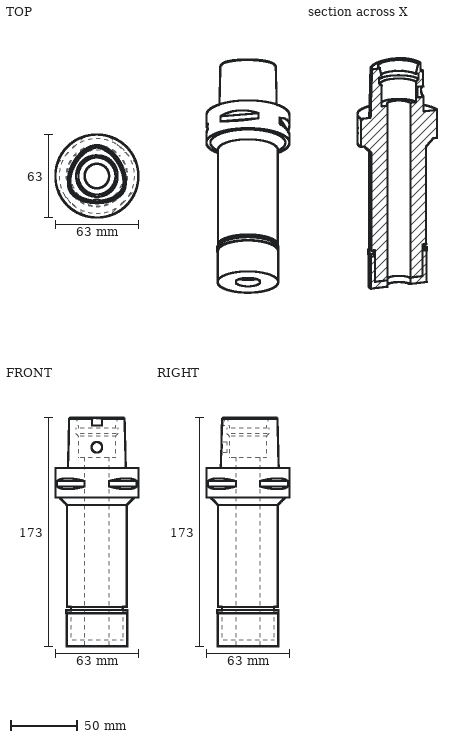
import cadquery as cq
import math


shank_height = 38.0
shank_mean_radius = 22.0
lobe_offset = 1.4
shank_taper = 1 / 40
shank_edge_chamfer = 1.0
outline_points = 36

flange_radius = 31.5
flange_height = 22.4
slot_count = 4
slot_first_angle = 45.0
slot_mid_z = -12.0
slot_floor_distance = 27.8
slot_floor_width = 4.0
slot_side_angle = 30.0
cone_height = 5.75

barrel_radius = 22.65
cone_top_radius = barrel_radius + cone_height
projection = 135.0
neck_top_z = -105.0
neck_radius = 19.75

collar_top_z = -107.5
collar_radius = 23.3
collar_bottom_z = -109.8
nut_radius = 23.0
nut_bevel = 0.3
nut_floor_thickness = 5.0
nut_floor_z = nut_floor_thickness - projection

mouth_radius = 15.75
bore_radius = 14.0
mouth_depth = 6.7
lip_depth = 8.0
groove_radius = 16.0
groove_depth = 12.0
bore_depth = 30.0
through_radius = 9.2

notch_radius = 5.0
notch_back_y = -17.8
notch_depth = 6.0
side_hole_radius = 4.0
side_hole_z = 15.6
side_hole_floor_y = -15.7


def tube(outer_radius, inner_radius, bottom_z, top_z):
    ring = cq.Workplane("XY", origin=(0, 0, bottom_z)).circle(outer_radius).circle(inner_radius)
    return ring.extrude(top_z - bottom_z)


def lobed_outline(mean_radius, z):
    """Closed three-lobed wire whose width is the same in every direction."""

    points = []
    for i in range(outline_points):
        a = 2 * math.pi * i / outline_points - math.pi
        x = mean_radius * math.sin(a) - lobe_offset * (2 * math.sin(2 * a) + math.sin(4 * a))
        y = mean_radius * math.cos(a) + lobe_offset * (2 * math.cos(2 * a) - math.cos(4 * a))
        points.append(cq.Vector(x, y, z))
    return cq.Wire.assembleEdges([cq.Edge.makeSpline(points, periodic=True)])


def make_shank():
    chamfer_z = shank_height - shank_edge_chamfer
    chamfer_radius = shank_mean_radius - shank_taper * chamfer_z
    base = lobed_outline(shank_mean_radius, 0)
    shoulder = lobed_outline(chamfer_radius, chamfer_z)
    rim = lobed_outline(chamfer_radius - shank_edge_chamfer, shank_height)
    lower = cq.Solid.makeLoft([base, shoulder], True)
    upper = cq.Solid.makeLoft([shoulder, rim], True)
    return cq.Workplane(lower).union(cq.Workplane(upper))


def make_turned_body():
    return (
        cq.Workplane("XZ")
        .moveTo(0, 0)
        .lineTo(flange_radius, 0)
        .lineTo(flange_radius, -flange_height)
        .lineTo(cone_top_radius, -flange_height)
        .lineTo(barrel_radius, -flange_height - cone_height)
        .lineTo(barrel_radius, neck_top_z)
        .lineTo(neck_radius, neck_top_z)
        .lineTo(neck_radius, nut_floor_z)
        .lineTo(0, nut_floor_z)
        .close()
        .revolve(360, (0, 0, 0), (0, 1, 0))
    )


def make_bore():
    top = shank_height
    groove_cone_depth = groove_depth + groove_radius - bore_radius
    return (
        cq.Workplane("XZ")
        .moveTo(0, top)
        .lineTo(mouth_radius, top)
        .lineTo(bore_radius, top - mouth_depth)
        .lineTo(bore_radius, top - lip_depth)
        .lineTo(groove_radius, top - lip_depth)
        .lineTo(groove_radius, top - groove_depth)
        .lineTo(bore_radius, top - groove_cone_depth)
        .lineTo(bore_radius, top - bore_depth)
        .lineTo(through_radius, top - bore_depth)
        .lineTo(through_radius, -projection)
        .lineTo(0, -projection)
        .close()
        .revolve(360, (0, 0, 0), (0, 1, 0))
    )


def make_gripper_slot(angle):
    """Trapezoidal straight slot, widening outwards, cut square to the given direction."""
    reach = flange_radius - slot_floor_distance
    half_floor = slot_floor_width / 2
    half_mouth = half_floor + reach * math.tan(math.radians(slot_side_angle))
    section = (
        cq.Workplane("XZ")
        .moveTo(slot_floor_distance, slot_mid_z - half_floor)
        .lineTo(flange_radius, slot_mid_z - half_mouth)
        .lineTo(flange_radius, slot_mid_z + half_mouth)
        .lineTo(slot_floor_distance, slot_mid_z + half_floor)
        .close()
    )
    return section.extrude(flange_radius, both=True).rotate((0, 0, 0), (0, 0, 1), angle)


def make_notch():
    notch_center_y = notch_back_y - notch_radius
    start = cq.Workplane("XY", origin=(0, notch_center_y, shank_height - notch_depth))
    return start.circle(notch_radius).extrude(notch_depth)


def make_side_hole():
    start = cq.Workplane("XZ", origin=(0, side_hole_floor_y, side_hole_z))
    return start.circle(side_hole_radius).extrude(flange_radius + side_hole_floor_y)


def make_holder():
    body = make_turned_body().union(make_shank())
    for i in range(slot_count):
        body = body.cut(make_gripper_slot(slot_first_angle + i * 360 / slot_count))
    return body.cut(make_notch()).cut(make_side_hole()).cut(make_bore())


def make_collar():
    return tube(collar_radius, neck_radius, collar_bottom_z, collar_top_z)


def make_nut():
    skirt = tube(nut_radius, neck_radius, nut_floor_z, collar_bottom_z)
    outer_edge = cq.selectors.RadiusNthSelector(-1)
    skirt = skirt.faces(">Z").edges(outer_edge).chamfer(nut_bevel)
    floor = tube(nut_radius, through_radius, -projection, nut_floor_z)
    return skirt.union(floor)


holder = make_holder()
collar = make_collar()
nut = make_nut()

result = cq.Compound.makeCompound([holder.val(), collar.val(), nut.val()])